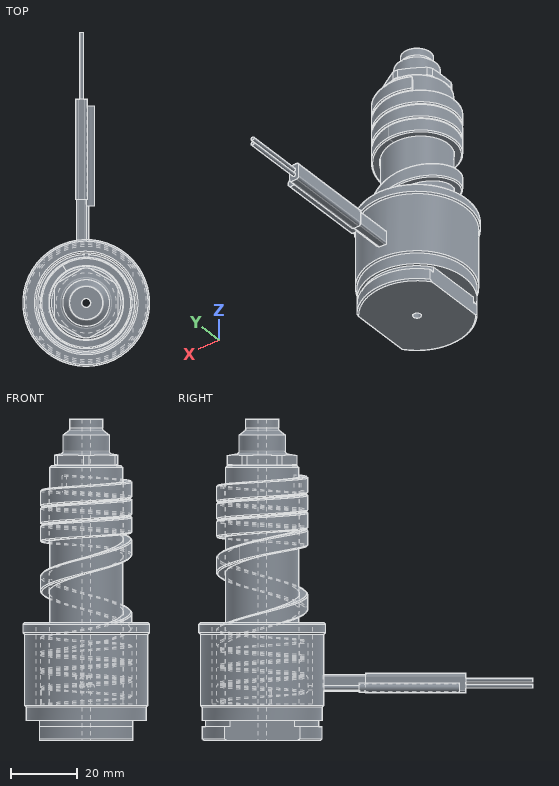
import cadquery as cq
import math

foot_radius = 18.0
foot_height = 4.2
foot_chamfer = 0.5
neck_radius = 17.0
neck_top = 6.0
flat_width = 28.0
ring_radius = 18.0
housing_bottom = 10.0
housing_radius = 18.5
housing_chamfer = 0.5
flange_radius = 19.0
flange_bottom = 31.8
flange_top = 35.3
flange_chamfer = 0.5
bore_radius = 15.0
bore_chamfer = 0.5
bore_floor = 10.5

tube_radius = 11.0
tube_bottom = bore_floor / 2
tube_top = 82.3
tube_chamfer = 0.6
hex_across_flats = 19.0
hex_corner_radius = 10.5
hex_groove_radius = 9.0
hex_bottom = 82.5
hex_corner_top = 85.3
hex_cone_radius = 7.6
hex_cone_top = 85.8
shoulder_radius = 7.0
shoulder_bottom = 86.7
shoulder_top = 91.4
tip_cone_radius = 5.2
tip_cone_top = 92.8
tip_radius = 5.0
tip_bottom = 93.6
total_height = 96.2
channel_diameter = 2.6

coil_inner_radius = 11.2
coil_outer_radius = 13.7
coil_wire_height = 5.05
coil_edge_break = 0.4
coil_end_angle = 122.0
coil_top = 79.5
tight_pitch = 5.28
open_pitch = 22.0
tight_angle = 1112.0
blend_angle = 120.0
open_angle = 370.0
coil_point_step = 30.0
full_turn = 360.0

lead_x = -1.4
lead_z = 17.2
lead_start = 17.0
cable_width = 3.0
cable_height = 5.0
cable_fillet = 0.5
sleeve_start = 31.0
sleeve_end = 61.0
sleeve_width = 3.5
sleeve_height = 5.9
sleeve_fillet = 0.8
wire_diameter = 1.2
wire_spacing = 1.8
wire_end = 81.0
sensor_x = 0.1
sensor_z = 15.8
sensor_diameter = 1.4
sensor_start = 13.8
ferrule_x = 1.1
ferrule_diameter = 2.8
ferrule_start = 29.0
ferrule_end = 59.0


def make_housing():
    """Turned housing with a flange on top and an open annular bore around the tube."""
    profile = [
        (0, 0),
        (foot_radius - foot_chamfer, 0),
        (foot_radius, foot_chamfer),
        (foot_radius, foot_height),
        (neck_radius, foot_height),
        (neck_radius, neck_top),
        (ring_radius, neck_top),
        (ring_radius, housing_bottom),
        (housing_radius, housing_bottom + housing_chamfer),
        (housing_radius, flange_bottom),
        (flange_radius, flange_bottom + flange_chamfer),
        (flange_radius, flange_top - flange_chamfer),
        (flange_radius - flange_chamfer, flange_top),
        (bore_radius + bore_chamfer, flange_top),
        (bore_radius, flange_top - bore_chamfer),
        (bore_radius, bore_floor + bore_chamfer),
        (bore_radius - bore_chamfer, bore_floor),
        (0, bore_floor),
    ]
    housing = cq.Workplane("XZ").polyline(profile).close().revolve(360, (0, 0), (0, 1))
    flats = cq.Workplane("XY").rect(flat_width, 2 * flange_radius).extrude(neck_top)
    above_flats = cq.Workplane("XY").workplane(offset=neck_top).circle(flange_radius).extrude(flange_top)
    return housing.intersect(flats.union(above_flats))


def make_core():
    """Turned tube and nozzle tip; the hexagon flats trim the nozzle's widest collar."""
    tube_profile = [
        (0, tube_bottom),
        (tube_radius, tube_bottom),
        (tube_radius, tube_top - tube_chamfer),
        (tube_radius - tube_chamfer, tube_top),
        (hex_groove_radius, tube_top),
        (hex_groove_radius, hex_bottom),
        (0, hex_bottom),
    ]
    tube = cq.Workplane("XZ").polyline(tube_profile).close().revolve(360, (0, 0), (0, 1))

    nozzle = (
        cq.Workplane("XZ")
        .moveTo(0, hex_bottom)
        .lineTo(hex_corner_radius, hex_bottom)
        .lineTo(hex_corner_radius, hex_corner_top)
        .lineTo(hex_cone_radius, hex_cone_top)
        .tangentArcPoint((shoulder_radius, shoulder_bottom), relative=False)
        .lineTo(shoulder_radius, shoulder_top)
        .lineTo(tip_cone_radius, tip_cone_top)
        .tangentArcPoint((tip_radius, tip_bottom), relative=False)
        .lineTo(tip_radius, total_height)
        .lineTo(0, total_height)
        .close()
        .revolve(360, (0, 0), (0, 1))
    )
    hex_across_corners = hex_across_flats / math.cos(math.radians(30))
    hexagon = (
        cq.Workplane("XY")
        .workplane(offset=hex_bottom)
        .polygon(6, hex_across_corners)
        .extrude(total_height - hex_bottom)
        .rotate((0, 0, 0), (0, 0, 1), 30)
    )
    return tube.union(nozzle.intersect(hexagon))


def coil_drop(turned):
    """Height lost after winding down `turned` degrees from the top end of the coil.

    Tight turns, a blend with evenly growing pitch, one open turn, then the same mirrored.
    """
    half_angle = tight_angle + blend_angle + open_angle / 2
    if turned > half_angle:
        return 2 * coil_drop(half_angle) - coil_drop(2 * half_angle - turned)
    in_tight = min(turned, tight_angle)
    in_blend = min(max(turned - tight_angle, 0), blend_angle)
    in_open = max(turned - tight_angle - blend_angle, 0)
    blend_pitch = tight_pitch + (open_pitch - tight_pitch) * in_blend / blend_angle / 2
    return (in_tight * tight_pitch + in_blend * blend_pitch + in_open * open_pitch) / full_turn


def coil_tangent(radius, turned):
    """Rate of change of position along the winding, per degree turned."""
    small = 0.01
    slope = (coil_drop(turned + small) - coil_drop(turned - small)) / (2 * small)
    angle = math.radians(coil_end_angle - turned)
    travel = math.radians(radius)
    return cq.Vector(travel * math.sin(angle), -travel * math.cos(angle), -slope)


def coil_edge(radius, below_top, first, last):
    """Smooth edge of the coil wire at a radius, between two winding angles."""
    count = math.ceil((last - first) / coil_point_step)
    turned_at = [first + (last - first) * i / count for i in range(count + 1)]
    points = []
    for turned in turned_at:
        angle = math.radians(coil_end_angle - turned)
        height = coil_top - below_top - coil_drop(turned)
        points.append(cq.Vector(radius * math.cos(angle), radius * math.sin(angle), height))
    end_tangents = [coil_tangent(radius, turned) for turned in (first, last)]
    return cq.Edge.makeSpline(points, tangents=end_tangents, parameters=turned_at, scale=False)


def make_coil():
    """Rectangular wire with broken outer edges, built from ruled faces along the winding."""
    section = [
        (coil_inner_radius, 0),
        (coil_outer_radius - coil_edge_break, 0),
        (coil_outer_radius, coil_edge_break),
        (coil_outer_radius, coil_wire_height - coil_edge_break),
        (coil_outer_radius - coil_edge_break, coil_wire_height),
        (coil_inner_radius, coil_wire_height),
    ]
    stretches = [tight_angle, blend_angle, open_angle, blend_angle, tight_angle]
    faces = []
    first = 0
    for stretch in stretches:
        last = first + stretch
        edges = [coil_edge(radius, below, first, last) for radius, below in section]
        for i, edge in enumerate(edges):
            faces.append(cq.Face.makeRuledSurface(edge, edges[i - 1]))
        first = last
    for turned in (0, first):
        angle = math.radians(coil_end_angle - turned)
        height = coil_top - coil_drop(turned)
        corners = [
            cq.Vector(radius * math.cos(angle), radius * math.sin(angle), height - below)
            for radius, below in section
        ]
        faces.append(cq.Face.makeFromWires(cq.Wire.makePolygon(corners, close=True)))
    return cq.Workplane(cq.Solid.makeSolid(cq.Shell.makeShell(faces)))


def rounded_bar(width, height, fillet, start, end):
    """Bar along Y on the lead axis, with its long edges rounded."""
    bar = cq.Workplane("XY").box(width, end - start, height).edges("|Y").fillet(fillet)
    return bar.translate((lead_x, (start + end) / 2, lead_z))


def rod(x, z, diameter, start, end):
    """Round rod along Y."""
    return cq.Workplane("XZ", origin=(x, start, z)).circle(diameter / 2).extrude(start - end)


def make_lead():
    """Cable, crimp sleeve and two bare wires, with the sensor rod and ferrule beside them."""
    lead = rounded_bar(cable_width, cable_height, cable_fillet, lead_start, sleeve_end)
    lead = lead.union(rounded_bar(sleeve_width, sleeve_height, sleeve_fillet, sleeve_start, sleeve_end))
    for side in (-1, 1):
        wire_z = lead_z + side * wire_spacing / 2
        lead = lead.union(rod(lead_x, wire_z, wire_diameter, sleeve_start, wire_end))
    lead = lead.union(rod(sensor_x, sensor_z, sensor_diameter, sensor_start, ferrule_end))
    return lead.union(rod(ferrule_x, sensor_z, ferrule_diameter, ferrule_start, ferrule_end))


channel = cq.Workplane("XY").circle(channel_diameter / 2).extrude(total_height)
body = make_housing().union(make_core()).cut(channel)
result = body.union(make_lead()).union(make_coil())